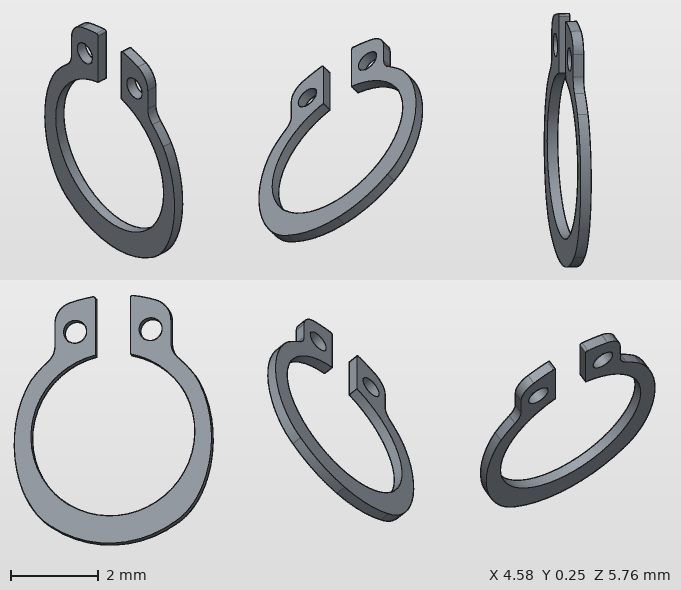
import cadquery as cq
import math

thickness = 0.25
overall_width = 4.58
bore_radius = 1.9
bottom_radius = 2.54
shoulder_radius = 2.305
lug_tip_radius = 3.255
lugs_width = 2.69
gap_width = 0.81
corner_fillet = 0.5
root_fillet = 0.465
gap_fillet = 0.05
hole_radius = 0.265
hole_height = 2.42
half_width = overall_width / 2
lug_half_width = lugs_width / 2
gap_half_width = gap_width / 2
hole_offset = (lug_half_width + gap_half_width) / 2

side_x_radius = 1.325
side_z_radius = 2.075
side_center_z = -0.155
side_top_z = 1.33
side_bottom_z = -2.08


def chord_half(radius, offset):
    """Other coordinate of a point on an origin-centred circle."""
    return math.sqrt(radius**2 - offset**2)


def toward(start, target, distance):
    """Point at a distance from start along the line to target."""
    length = math.dist(start, target)
    return tuple(s + (t - s) * distance / length for s, t in zip(start, target))


def between(center, radius, start, end):
    """Point halfway along the short arc from start to end."""
    middle = tuple((s + e) / 2 for s, e in zip(start, end))
    return toward(center, middle, radius)


def side_angle(level):
    """Ellipse parameter, in radians, where the side reaches the given Z."""
    return math.asin((level - side_center_z) / side_z_radius)


def side_x(angle):
    """X of the right side at an ellipse parameter."""
    return half_width - side_x_radius * (1 - math.cos(angle))


origin = (0.0, 0.0)
back_face = (0, thickness / 2, 0)

corner_x = lug_half_width - corner_fillet
corner_center = (corner_x, chord_half(lug_tip_radius - corner_fillet, corner_x))
corner_side = (lug_half_width, corner_center[1])
corner_tip = toward(origin, corner_center, lug_tip_radius)

root_x = lug_half_width + root_fillet
root_center = (root_x, chord_half(shoulder_radius + root_fillet, root_x))
root_side = (lug_half_width, root_center[1])
root_shoulder = toward(origin, root_center, shoulder_radius)

gap_top = (gap_half_width, chord_half(lug_tip_radius, gap_half_width))
side_top_angle = side_angle(side_top_z)
side_bottom_angle = side_angle(side_bottom_z)
side_top = (side_x(side_top_angle), side_top_z)
side_bottom = (side_x(side_bottom_angle), side_bottom_z)

half_plate = (
    cq.Workplane("XZ", origin=back_face)
    .moveTo(0, -bottom_radius)
    .threePointArc(between(origin, bottom_radius, (0, -bottom_radius), side_bottom), side_bottom)
    .ellipseArc(
        side_x_radius,
        side_z_radius,
        math.degrees(side_bottom_angle),
        math.degrees(side_top_angle),
        startAtCurrent=True,
        makeWire=False,
    )
    .threePointArc(between(origin, shoulder_radius, side_top, root_shoulder), root_shoulder)
    .threePointArc(between(root_center, root_fillet, root_shoulder, root_side), root_side)
    .lineTo(*corner_side)
    .threePointArc(between(corner_center, corner_fillet, corner_side, corner_tip), corner_tip)
    .threePointArc(between(origin, lug_tip_radius, corner_tip, gap_top), gap_top)
    .lineTo(gap_half_width, 0)
    .lineTo(0, 0)
    .close()
    .extrude(thickness)
    .edges(cq.selectors.NearestToPointSelector((gap_top[0], 0, gap_top[1])))
    .fillet(gap_fillet)
)
plate = half_plate.union(half_plate.mirror("YZ"))

bore = cq.Workplane("XZ", origin=back_face).circle(bore_radius).extrude(thickness)
plier_holes = (
    cq.Workplane("XZ", origin=back_face)
    .pushPoints([(side * hole_offset, hole_height) for side in (-1, 1)])
    .circle(hole_radius)
    .extrude(thickness)
)

result = plate.cut(bore).cut(plier_holes)